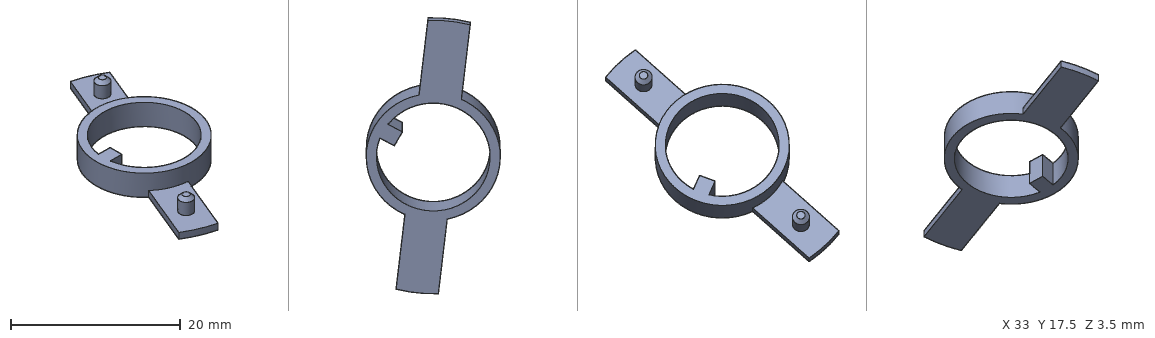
import cadquery as cq

ring_diameter = 15.8
bore_diameter = 13.4
ring_height = 3.5

arm_angle = -22.5
arm_width = 5.0
arm_thickness = 1.0
arm_end_diameter = 34.0

pin_diameter = 2.0
pin_tip_diameter = 1.0
pin_top = 3.35
pin_tip_height = 0.5
pin_centre_radius = 13.0

key_width = 1.98
key_inner_radius = 4.68
key_height = ring_height


def cylinder(diameter, height):
    return cq.Workplane("XY").circle(diameter / 2).extrude(height)


def make_arms():
    bar = cq.Workplane("XY").rect(arm_end_diameter, arm_width).extrude(arm_thickness)
    return bar.intersect(cylinder(arm_end_diameter, arm_thickness))


def make_pin(x):
    shank = cylinder(pin_diameter, pin_top - pin_tip_height)
    tip = (
        shank.faces(">Z")
        .workplane()
        .circle(pin_diameter / 2)
        .workplane(offset=pin_tip_height)
        .circle(pin_tip_diameter / 2)
        .loft(combine=True)
    )
    return tip.translate((x, 0, 0))


def make_key():
    outer_radius = (ring_diameter + bore_diameter) / 4
    length = outer_radius - key_inner_radius
    key = cq.Workplane("XY").box(key_width, length, key_height, centered=(True, False, False))
    return key.translate((0, -outer_radius, 0))


arms = make_arms()
for side in (-1, 1):
    arms = arms.union(make_pin(side * pin_centre_radius))
arms = arms.rotate((0, 0, 0), (0, 0, 1), arm_angle)

result = (
    arms.union(cylinder(ring_diameter, ring_height))
    .cut(cylinder(bore_diameter, ring_height))
    .union(make_key())
)